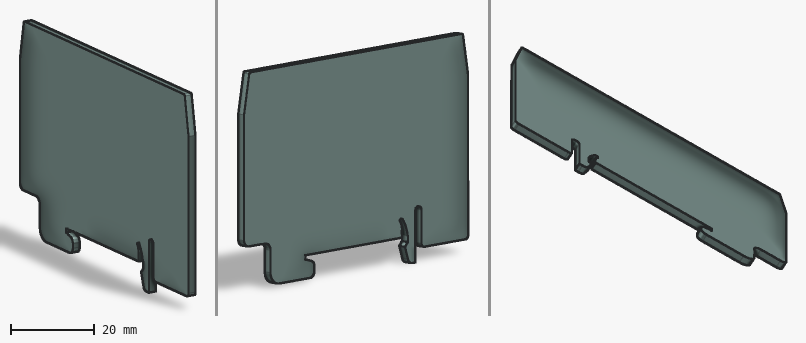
import cadquery as cq

length = 76.0
thickness = 2.0
height = 53.5
half_length = length / 2

shoulder_run = 1.8
shoulder_drop = 10.0
shoulder_radius = 0.45
right_wall_taper = 0.1

shelf_z = 11.25
shelf_corner_radius = 1.7
shelf_inner_radius = 1.8
foot_left = 9.0 - half_length
foot_right = 23.9 - half_length
foot_bottom = 0.9
foot_heel_radius = 3.05
foot_toe_radius = 1.5
hook_root = 20.9 - half_length
hook_root_z = 5.6
hook_end_z = 4.7
hook_nose_radius = 1.5

recess_z = 6.6
recess_right = 53.5 - half_length

relief_straight_top = 8.8
relief_left = 52.8 - half_length
relief_right = 53.9 - half_length
relief_end_z = 10.9
relief_crown = (53.35 - half_length, 11.25)
relief_inner_mid = (53.3 - half_length, 9.9)
relief_outer_mid = (54.95 - half_length, 8.8)
relief_outer_end_z = 6.85

latch_neck = 55.5 - half_length
latch_neck_z = 5.3
latch_barb = (54.6 - half_length, 4.25)
latch_tip_start = (55.55 - half_length, 1.15)
latch_tip_mid = (56.1 - half_length, 0.3)
latch_tip_flat = 57.15 - half_length

slot_left = 58.1 - half_length
slot_width = 2.05
slot_right = slot_left + slot_width
slot_radius = slot_width / 2
slot_top = 13.5
slot_arc_z = slot_top - slot_radius
right_foot_z = 3.4
right_foot_radius = 1.0


def plate():
    """Extruded outline, traced counterclockwise from the upper left corner."""
    outline = (
        cq.Workplane("XZ")
        .moveTo(-half_length + shoulder_run, height)
        .lineTo(-half_length, height - shoulder_drop)
        .lineTo(-half_length, shelf_z)
        .lineTo(foot_left, shelf_z)
        .lineTo(foot_left, foot_bottom)
        .lineTo(foot_right, foot_bottom)
        .lineTo(foot_right, hook_end_z)
        .lineTo(hook_root, hook_root_z)
        .lineTo(hook_root, recess_z)
        .lineTo(recess_right, recess_z)
        .lineTo(recess_right, relief_straight_top)
        .threePointArc(relief_inner_mid, (relief_left, relief_end_z))
        .threePointArc(relief_crown, (relief_right, relief_end_z))
        .threePointArc(relief_outer_mid, (latch_neck, relief_outer_end_z))
        .lineTo(latch_neck, latch_neck_z)
        .lineTo(*latch_barb)
        .lineTo(*latch_tip_start)
        .threePointArc(latch_tip_mid, (latch_tip_flat, 0))
        .lineTo(slot_left, 0)
        .lineTo(slot_left, slot_arc_z)
        .threePointArc((slot_left + slot_radius, slot_top), (slot_right, slot_arc_z))
        .lineTo(slot_right, right_foot_z)
        .lineTo(half_length, right_foot_z)
        .lineTo(half_length - right_wall_taper, height - shoulder_drop)
        .lineTo(half_length - shoulder_run, height)
        .close()
    )
    return outline.extrude(thickness / 2, both=True)


def round_corner(body, x, z, radius):
    """Round the through-thickness edge at the given outline corner."""
    corner = cq.selectors.NearestToPointSelector((x, 0, z))
    return body.edges("|Y").edges(corner).fillet(radius)


rounded_corners = [
    (-half_length + shoulder_run, height, shoulder_radius),
    (half_length - shoulder_run, height, shoulder_radius),
    (-half_length, shelf_z, shelf_corner_radius),
    (foot_left, shelf_z, shelf_inner_radius),
    (foot_left, foot_bottom, foot_heel_radius),
    (foot_right, foot_bottom, foot_toe_radius),
    (foot_right, hook_end_z, hook_nose_radius),
    (slot_right, right_foot_z, right_foot_radius),
    (half_length, right_foot_z, right_foot_radius),
]

result = plate()
for corner_x, corner_z, corner_radius in rounded_corners:
    result = round_corner(result, corner_x, corner_z, corner_radius)